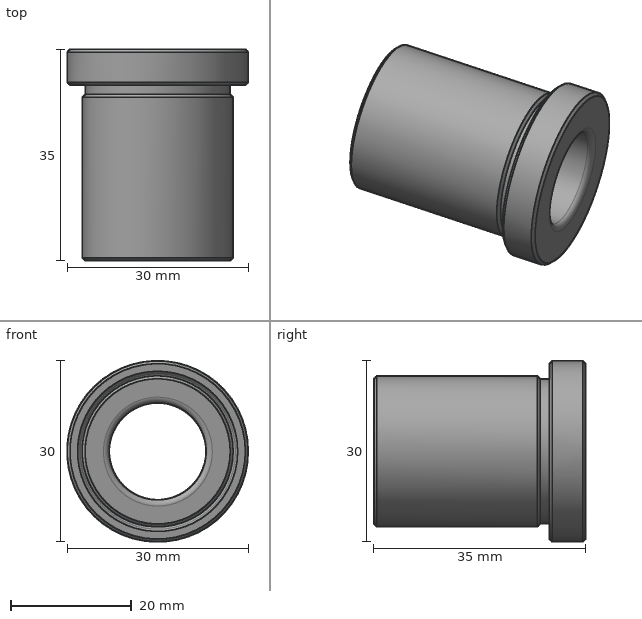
import cadquery as cq
import math

length = 35.0
head_diameter = 30.0
head_thickness = 6.0
body_diameter = 25.0
neck_diameter = 24.0
neck_width = 1.5
bore_diameter = 16.0
edge_chamfer = 0.5
bore_round = 1.0

undercut_diameter = 26.5
undercut_round = 0.5

head_radius = head_diameter / 2
body_radius = body_diameter / 2
neck_radius = neck_diameter / 2
bore_radius = bore_diameter / 2
undercut_radius = undercut_diameter / 2
head_face = length - head_thickness
body_end = head_face - neck_width

tangent_offset = undercut_round * math.sin(math.radians(45))
round_centre_radius = neck_radius + undercut_round
cone_inner_radius = round_centre_radius + tangent_offset
cone_inner_y = head_face + undercut_radius - cone_inner_radius
round_centre_y = cone_inner_y - tangent_offset


def bushing():
    """Revolve the (radius, Y) half section about the Y axis."""
    half_section = (
        cq.Workplane("XY")
        .moveTo(bore_radius + bore_round, 0)
        .lineTo(body_radius - edge_chamfer, 0)
        .lineTo(body_radius, edge_chamfer)
        .lineTo(body_radius, body_end - edge_chamfer)
        .lineTo(body_radius - edge_chamfer, body_end)
        .lineTo(neck_radius, round_centre_y)
        .threePointArc(
            (round_centre_radius - tangent_offset, round_centre_y + tangent_offset),
            (cone_inner_radius, cone_inner_y),
        )
        .lineTo(undercut_radius, head_face)
        .lineTo(head_radius - edge_chamfer, head_face)
        .lineTo(head_radius, head_face + edge_chamfer)
        .lineTo(head_radius, length - edge_chamfer)
        .lineTo(head_radius - edge_chamfer, length)
        .lineTo(bore_radius + bore_round, length)
        .radiusArc((bore_radius, length - bore_round), -bore_round)
        .lineTo(bore_radius, bore_round)
        .radiusArc((bore_radius + bore_round, 0), -bore_round)
        .close()
    )
    return half_section.revolve(360, (0, 0, 0), (0, 1, 0))


result = bushing()